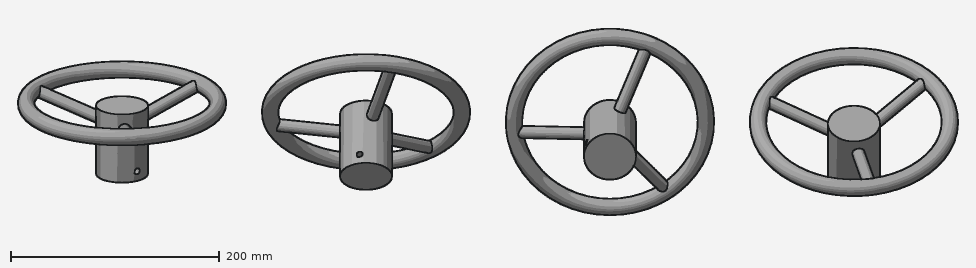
import cadquery as cq
import math

rim_outer_dia = 200.0
rim_bar_dia = 16.0
overall_height = 80.0
rim_radius = (rim_outer_dia - rim_bar_dia) / 2
rim_height = overall_height - rim_bar_dia / 2

hub_dia = 50.0
hub_height = 70.0

spoke_dia = 12.0
spoke_count = 3
first_spoke_angle = 90.0
spoke_slope = 15.0

pin_hole_dia = 6.0
pin_hole_height = 10.0


def make_rim():
    return (
        cq.Workplane("XZ")
        .center(rim_radius, rim_height)
        .circle(rim_bar_dia / 2)
        .revolve(360, (-rim_radius, 0), (-rim_radius, 1))
    )


def make_hub():
    return cq.Workplane("XY").circle(hub_dia / 2).extrude(hub_height)


def make_spoke(angle):
    """One sloped spoke from the hub's axis to the rim's centre line."""
    slope = math.radians(spoke_slope)
    start_height = rim_height - rim_radius * math.tan(slope)
    length = rim_radius / math.cos(slope)
    direction = cq.Vector(math.cos(slope), 0, math.sin(slope))
    spoke = cq.Solid.makeCylinder(spoke_dia / 2, length, cq.Vector(0, 0, start_height), direction)
    return cq.Workplane(spoke).rotate((0, 0, 0), (0, 0, 1), angle)


def make_pin_hole():
    return (
        cq.Workplane("YZ")
        .center(0, pin_hole_height)
        .circle(pin_hole_dia / 2)
        .extrude(hub_dia, both=True)
    )


wheel = make_hub()
for index in range(spoke_count):
    wheel = wheel.union(make_spoke(first_spoke_angle + index * 360 / spoke_count))
wheel = wheel.union(make_rim())

result = wheel.cut(make_pin_hole())